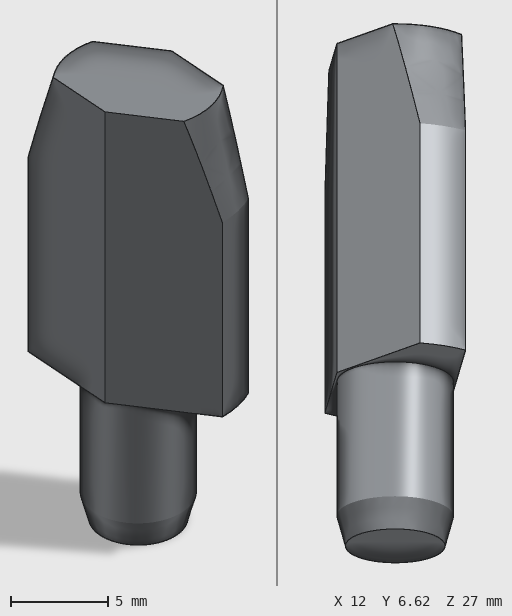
import cadquery as cq
import math

total_height = 27.0
pin_length = 9.0
pin_radius = 3.0
tip_length = 1.62
head_radius = 6.0
head_taper_length = 6.0
head_thickness = 6.62
flank_angle = 19.0
taper_angle = 15.0

taper_slope = math.tan(math.radians(taper_angle))
tip_radius = pin_radius - tip_length * taper_slope
head_top_radius = head_radius - head_taper_length * taper_slope
head_height = total_height - pin_length
half_thickness = head_thickness / 2
diamond_half_width = half_thickness / math.tan(math.radians(flank_angle))


def revolve_profile(points):
    """Revolve a closed (radius, height) outline about the Z axis."""
    return cq.Workplane("XZ").polyline(points).close().revolve(360, (0, 0), (0, 1))


def make_head():
    """Diamond prism trimmed by a round envelope that tapers at the top."""
    diamond = (
        cq.Workplane("XY")
        .workplane(offset=pin_length)
        .polyline([
            (diamond_half_width, 0),
            (0, half_thickness),
            (-diamond_half_width, 0),
            (0, -half_thickness),
        ])
        .close()
        .extrude(head_height)
    )
    envelope = revolve_profile([
        (0, pin_length),
        (head_radius, pin_length),
        (head_radius, total_height - head_taper_length),
        (head_top_radius, total_height),
        (0, total_height),
    ])
    return diamond.intersect(envelope)


def make_pin():
    """Round shank with a conical lead-in at its lower end."""
    return revolve_profile([
        (0, 0),
        (tip_radius, 0),
        (pin_radius, tip_length),
        (pin_radius, pin_length),
        (0, pin_length),
    ])


result = make_head().union(make_pin())